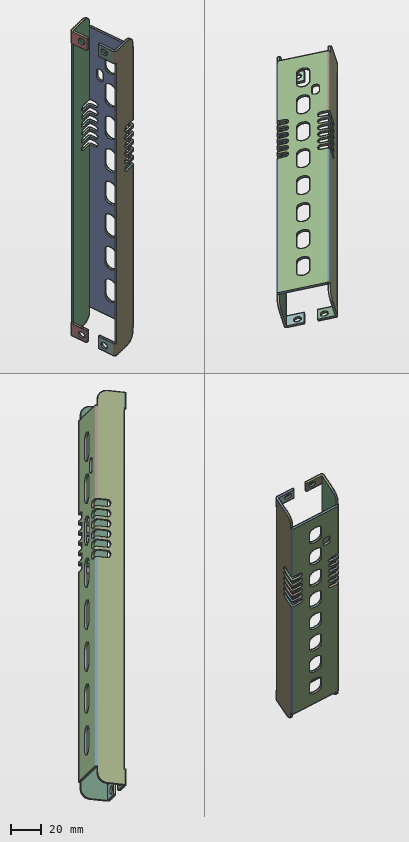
import cadquery as cq

length = 268.2
width = 35.7
depth = 21.2
thickness = 1.5
bend_radius = thickness

tab_height = 10.7
tab_gap = 8.9
tab_corner_radius = 1.0
wall_corner_radius = 6.5
tab_hole_diameter = 5.0
tab_hole_spacing = 18.0
tab_hole_from_end = 4.8

slot_count = 8
slot_pitch = 28.7
slot_width = 8.9
slot_length = 19.5

small_slot_width = 5.0
small_slot_length = 10.2
small_slot_x = -8.3
small_slot_z = 85.0

vent_count = 6
vent_pitch = 7.0
vent_height = 4.8
vent_top_z = 57.0
vent_reach_web = 8.0
vent_reach_wall = 10.5

half_length = length / 2
half_width = width / 2
half_depth = depth / 2
web_half_length = half_length - tab_height


def channel():
    """Closed rectangular tube with rounded bends, web at +Y, running along Z."""
    outer = cq.Workplane("XY").rect(width, depth).extrude(half_length, both=True)
    outer = outer.edges("|Z").fillet(bend_radius)
    inner = (
        cq.Workplane("XY")
        .rect(width - 2 * thickness, depth - 2 * thickness)
        .extrude(half_length, both=True)
    )
    return outer.cut(inner)


def box(x_size, y_range, z_range):
    """Box centred on X that spans the given Y and Z ranges."""
    y_low, y_high = y_range
    z_low, z_high = z_range
    return (
        cq.Workplane("XY")
        .box(x_size, y_high - y_low, z_high - z_low)
        .translate((0, (y_low + y_high) / 2, (z_low + z_high) / 2))
    )


def end_profile():
    """Side outline: walls with rounded rear corners, web and tabs of limited length."""
    wall_rear = half_depth - bend_radius
    wall_front = -half_depth + bend_radius
    walls = box(width, (wall_front, wall_rear), (-half_length, half_length))
    walls = walls.edges("|X and >Y").fillet(wall_corner_radius)
    web = box(width, (wall_rear, half_depth), (-web_half_length, web_half_length))
    profile = walls.union(web)
    for tab_bottom in (-half_length, web_half_length):
        tabs = box(width, (-half_depth, wall_front), (tab_bottom, tab_bottom + tab_height))
        profile = profile.union(tabs)
    return profile


def tab_cutters(tab_bottom):
    """Gap between a pair of tabs, with their rounded lower inner corners."""
    front = (-half_depth, -half_depth + thickness)
    cutter = box(tab_gap, front, (tab_bottom, tab_bottom + tab_height))
    half_gap = tab_gap / 2
    for side in (-1, 1):
        corner = (
            cq.Workplane("XZ", origin=(0, front[1], 0))
            .moveTo(side * half_gap, tab_bottom)
            .lineTo(side * (half_gap + tab_corner_radius), tab_bottom)
            .radiusArc((side * half_gap, tab_bottom + tab_corner_radius), side * tab_corner_radius)
            .close()
            .extrude(thickness)
        )
        cutter = cutter.union(corner)
    return cutter


def tab_holes():
    """Round holes through the four tabs."""
    hole_z = half_length - tab_hole_from_end
    hole_x = tab_hole_spacing / 2
    centres = [(x, z) for x in (-hole_x, hole_x) for z in (-hole_z, hole_z)]
    return (
        cq.Workplane("XZ", origin=(0, -half_depth + thickness, 0))
        .pushPoints(centres)
        .circle(tab_hole_diameter / 2)
        .extrude(thickness)
    )


def web_slots(centres, slot_size, slot_breadth):
    """Upright round-ended slots through the web."""
    return (
        cq.Workplane("XZ", origin=(0, half_depth, 0))
        .pushPoints(centres)
        .slot2D(slot_size, slot_breadth, 90)
        .extrude(thickness)
    )


def vents():
    """Round-ended vents in the web and side walls, meeting at the bends."""
    heights = [vent_top_z - i * vent_pitch for i in range(vent_count)]
    web_centres = [(side * half_width, z) for side in (-1, 1) for z in heights]
    wall_centres = [(half_depth, z) for z in heights]
    in_web = (
        cq.Workplane("XZ", origin=(0, half_depth, 0))
        .pushPoints(web_centres)
        .slot2D(2 * vent_reach_web, vent_height)
        .extrude(thickness)
    )
    in_walls = (
        cq.Workplane("YZ")
        .pushPoints(wall_centres)
        .slot2D(2 * vent_reach_wall, vent_height)
        .extrude(half_width, both=True)
    )
    middle = box(width - 2 * thickness, (-half_depth, half_depth), (-half_length, half_length))
    return in_web.union(in_walls.cut(middle))


slot_row_start = -(slot_count - 1) * slot_pitch / 2
slot_row = [(0, slot_row_start + i * slot_pitch) for i in range(slot_count)]

result = channel().intersect(end_profile())
for bottom in (-half_length, web_half_length):
    result = result.cut(tab_cutters(bottom))
result = result.cut(tab_holes())
result = result.cut(web_slots(slot_row, slot_length, slot_width))
result = result.cut(web_slots([(small_slot_x, small_slot_z)], small_slot_length, small_slot_width))
result = result.cut(vents())